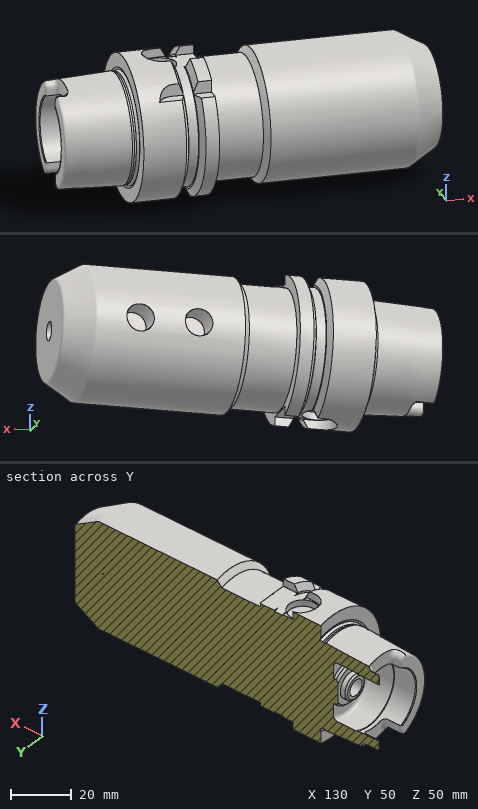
import cadquery as cq
import math

total_length = 130.0
flange_radius = 50.0 / 2
body_radius = 46.0 / 2
neck_radius = 41.5 / 2

shank_end_radius = 18.1
shank_top_radius = 19.1
shank_end_round = 0.9
taper_length = 22.8
undercut_radius = 18.8
undercut_start = 23.5
undercut_end = 24.2
face_relief_inner_radius = 19.4
face_relief_outer_radius = 20.2
face_relief_depth = 0.3

flange_start = 25.0
flange_end = 51.0
groove_mouth_start = 39.6
groove_floor_start = 41.2
groove_floor_end = 44.7
groove_mouth_end = 46.3
groove_flank_radius = 22.4
groove_floor_radius = 43.3 / 2

body_start = 67.2
body_shoulder_end = 69.2
nose_start = 120.0
nose_angle = 30
nose_round = 1.3

bore_radius = 26 / 2
recess_radius = 26.6 / 2
mouth_radius = recess_radius
mouth_chamfer = mouth_radius - bore_radius
bore_depth = 9.5
cavity_depth = 19.5
cavity_floor_round = 1.5

nut_radius = 16.0 / 2
nut_start = 17.5
nut_chamfer = 0.8
tube_radius = 10.0 / 2
tube_start = 15.0
tube_chamfer = 0.6
coolant_hole_radius = 6.4 / 2

drive_slot_half_width = 5.3
drive_slot_wall_height = 13.9
drive_slot_flare_radius = 2.5
drive_slot_floor_round = 1.7
top_slot_depth = 4.4
bottom_slot_depth = 7.7

keyway_center = 37.7
keyway_half_width = 12.1 / 2
keyway_floor = 21.2
key_hole_radius = 11.0 / 2
key_hole_depth = 2.6
notch_offset = 15.5

screw_positions = (85.0, 105.0)
screw_hole_radius = 4.7
screw_hole_depth = 10.4

cutter_reach = 6.5


def turned(points):
    """Solid of revolution about the X axis from (x, radius) points."""
    profile = cq.Workplane("XY").polyline(points).close()
    return profile.revolve(360, (0, 0, 0), (1, 0, 0))


def edge_at(x, radius):
    """Selector for the circular edge of a given radius at a given x, leaving out larger ones."""
    tolerance = 0.01
    return cq.selectors.BoxSelector(
        (x - tolerance, -radius - tolerance, -radius - tolerance),
        (x + tolerance, radius + tolerance, radius + tolerance),
        boundingbox=True,
    )


def outer_form():
    nose_radius = body_radius - (total_length - nose_start) * math.tan(math.radians(nose_angle))
    form = turned([
        (0, 0),
        (0, shank_end_radius),
        (taper_length, shank_top_radius),
        (undercut_start, undercut_radius),
        (undercut_end, undercut_radius),
        (flange_start + face_relief_depth, face_relief_inner_radius),
        (flange_start, face_relief_outer_radius),
        (flange_start, flange_radius),
        (groove_mouth_start, flange_radius),
        (groove_floor_start, groove_flank_radius),
        (groove_floor_start, groove_floor_radius),
        (groove_floor_end, groove_floor_radius),
        (groove_floor_end, groove_flank_radius),
        (groove_mouth_end, flange_radius),
        (flange_end, flange_radius),
        (flange_end, neck_radius),
        (body_start, neck_radius),
        (body_shoulder_end, body_radius),
        (nose_start, body_radius),
        (total_length, nose_radius),
        (total_length, 0),
    ])
    form = form.edges(edge_at(0, shank_end_radius)).fillet(shank_end_round)
    form = form.edges(edge_at(nose_start, body_radius)).fillet(nose_round)
    return form.faces(">X").edges().fillet(nose_round)


def cavity():
    space = turned([
        (0, 0),
        (0, mouth_radius),
        (mouth_chamfer, bore_radius),
        (bore_depth, bore_radius),
        (bore_depth, recess_radius),
        (cavity_depth, recess_radius),
        (cavity_depth, 0),
    ])
    return space.faces(">X").edges().fillet(cavity_floor_round)


def coolant_tube():
    return turned([
        (tube_start, 0),
        (tube_start, tube_radius - tube_chamfer),
        (tube_start + tube_chamfer, tube_radius),
        (nut_start, tube_radius),
        (nut_start, nut_radius - nut_chamfer),
        (nut_start + nut_chamfer, nut_radius),
        (cavity_depth, nut_radius),
        (cavity_depth, 0),
    ])


def prong():
    """Block beside a drive slot: its wall curves away near the rim and its front edges are rounded."""
    flare_width = drive_slot_half_width + drive_slot_flare_radius
    flare_height = drive_slot_wall_height + drive_slot_flare_radius
    arc_middle = drive_slot_flare_radius * (1 - math.cos(math.radians(45)))
    outline = (
        cq.Workplane("YZ")
        .moveTo(drive_slot_half_width, -cutter_reach)
        .lineTo(drive_slot_half_width, drive_slot_wall_height)
        .threePointArc(
            (drive_slot_half_width + arc_middle, flare_height - arc_middle),
            (flare_width, flare_height),
        )
        .lineTo(flange_radius + cutter_reach, flare_height)
        .lineTo(flange_radius + cutter_reach, -cutter_reach)
        .close()
    )
    block = outline.extrude(flange_start)
    return block.faces("<X").edges().fillet(shank_end_round)


def drive_slot(depth):
    """Slot from the axis upwards: the space between two prongs, with rounded floor edges."""
    space = cq.Workplane("XY").box(depth, 2 * flange_radius, flange_radius, centered=(False, True, False))
    slot = space.cut(prong()).cut(prong().mirror("XZ"))
    return slot.faces(">X").edges().fillet(drive_slot_floor_round)


def round_ended_slot(middle_y, floor_z):
    """Upward-open slot along X, rounded at its -X end and running out through the flange's rear face."""
    length = flange_end - keyway_center
    height = flange_radius - floor_z + cutter_reach
    floor = cq.Workplane("XY", origin=(keyway_center, middle_y, floor_z))
    straight = floor.center(length / 2, 0).rect(length, 2 * keyway_half_width).extrude(height)
    return floor.circle(keyway_half_width).extrude(height).union(straight)


def keyway():
    """Keyway in the top of the flange with a shallow round hole at its closed end."""
    hole_floor = cq.Workplane("XY", origin=(keyway_center, 0, keyway_floor - key_hole_depth))
    hole = hole_floor.circle(key_hole_radius).extrude(key_hole_depth)
    return round_ended_slot(0, keyway_floor).union(hole)


def orientation_notch():
    """Square-cornered notch on the -Y +Z side of the flange, with a round run-out."""
    return round_ended_slot(-notch_offset - keyway_half_width, notch_offset)


def screw_hole(x):
    plane = cq.Workplane("XZ", origin=(x, body_radius, 0))
    return plane.circle(screw_hole_radius).extrude(screw_hole_depth)


def coolant_hole():
    return cq.Workplane("YZ").circle(coolant_hole_radius).extrude(total_length)


def turned_over(cutter):
    """The same cutter on the opposite side of the X axis."""
    return cutter.rotate((0, 0, 0), (1, 0, 0), 180)


result = outer_form().cut(cavity()).union(coolant_tube())
result = result.cut(drive_slot(top_slot_depth)).cut(turned_over(drive_slot(bottom_slot_depth)))
result = result.cut(keyway()).cut(turned_over(keyway()))
result = result.cut(orientation_notch())
for position in screw_positions:
    result = result.cut(screw_hole(position))
result = result.cut(coolant_hole())